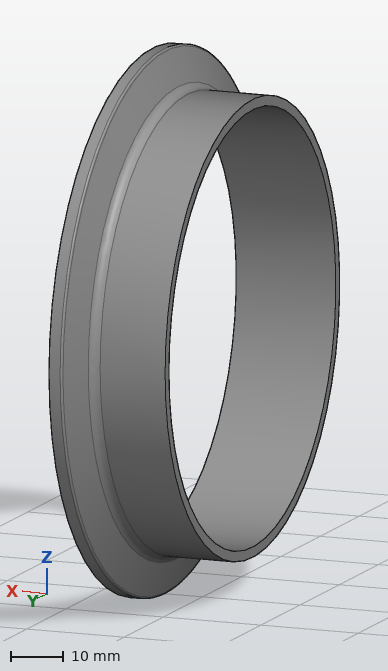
import cadquery as cq
import math

length = 20.5
bore_radius = 85.1 / 2
tube_radius = 89.1 / 2
flange_radius = 106 / 2
rim_width = 2.6
cone_angle = 20
root_fillet = 2.0
rim_fillet = 0.5

cone_rise = flange_radius - tube_radius
rim_corner_x = length - rim_width
root_corner_x = rim_corner_x - cone_rise * math.tan(math.radians(cone_angle))

section = [
    (0, bore_radius),
    (0, tube_radius),
    (root_corner_x, tube_radius),
    (rim_corner_x, flange_radius),
    (length, flange_radius),
    (length, bore_radius),
]
ring = cq.Workplane("XY").polyline(section).close().revolve(360, (0, 0, 0), (1, 0, 0))


def round_circle(body, x, radius, fillet):
    """Fillet the circular edge of the given radius lying at axial place x."""
    margin = 0.1
    reach = radius + margin
    selector = cq.selectors.BoxSelector(
        (x - margin, -reach, -reach), (x + margin, reach, reach), boundingbox=True
    )
    return body.edges("%CIRCLE").edges(selector).fillet(fillet)


ring = round_circle(ring, root_corner_x, tube_radius, root_fillet)
result = round_circle(ring, rim_corner_x, flange_radius, rim_fillet)